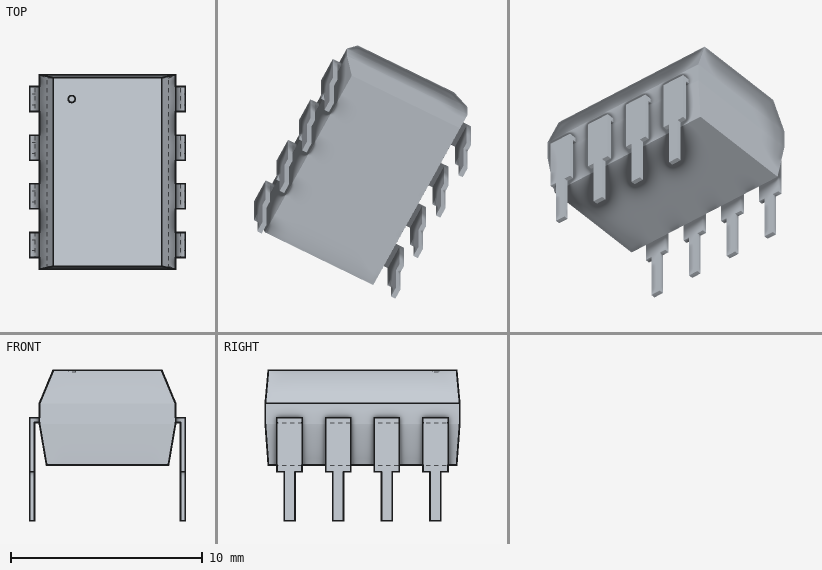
import cadquery as cq


overall_width = 8.13
body_length = 10.16
overall_height = 7.88

leads_per_side = 4
lead_pitch = 2.54
lead_thickness = 0.26
lead_width = 1.32
tip_width = 0.57
tip_length = 2.56
lead_top_z = 2.84

body_width = 7.11
top_z = overall_height - tip_length
band_top_z = 3.58
band_bottom_z = 2.50
bottom_z = 0.35
top_width = 5.66
bottom_width = 6.37
end_taper = 0.16
face_length = body_length - 2 * end_taper

mark_diameter = 0.36
mark_depth = 0.1
mark_x = -1.87
mark_y = (leads_per_side - 1) * lead_pitch / 2


def tapered_half(band_z, face_z, face_width):
    """Loft from the edge of the middle band to the smaller top or bottom face."""
    return (
        cq.Workplane("XY")
        .workplane(offset=band_z)
        .rect(body_width, body_length)
        .workplane(offset=face_z - band_z)
        .rect(face_width, face_length)
        .loft(ruled=True)
    )


def make_mark():
    return (
        cq.Workplane("XY")
        .workplane(offset=top_z - mark_depth)
        .center(mark_x, mark_y)
        .circle(mark_diameter / 2)
        .extrude(mark_depth)
    )


def make_body(mark):
    band = (
        cq.Workplane("XY")
        .workplane(offset=band_bottom_z)
        .rect(body_width, body_length)
        .extrude(band_top_z - band_bottom_z)
    )
    upper = tapered_half(band_top_z, top_z, top_width)
    lower = tapered_half(band_bottom_z, bottom_z, bottom_width)
    return band.union(upper).union(lower).cut(mark)


def make_lead(side, y):
    """One lead that butts against the body band; side is -1 or +1 along X."""
    outer_x = side * overall_width / 2
    inner_x = outer_x - side * lead_thickness
    body_x = side * body_width / 2
    arm_bottom_z = lead_top_z - lead_thickness
    bent_strip = (
        cq.Workplane("XZ", origin=(0, y, 0))
        .moveTo(outer_x, 0)
        .lineTo(outer_x, lead_top_z)
        .lineTo(body_x, lead_top_z)
        .lineTo(body_x, arm_bottom_z)
        .lineTo(inner_x, arm_bottom_z)
        .lineTo(inner_x, 0)
        .close()
        .extrude(lead_width / 2, both=True)
    )
    tip = (
        cq.Workplane("XY")
        .center((outer_x + inner_x) / 2, y)
        .rect(lead_thickness, tip_width)
        .extrude(-tip_length)
    )
    return bent_strip.union(tip)


mark = make_mark()
body = make_body(mark)

leads = []
for side in (-1, 1):
    for index in range(leads_per_side):
        lead_y = (index - (leads_per_side - 1) / 2) * lead_pitch
        leads.append(make_lead(side, lead_y))

result = cq.Compound.makeCompound([body.val(), mark.val(), *[lead.val() for lead in leads]])